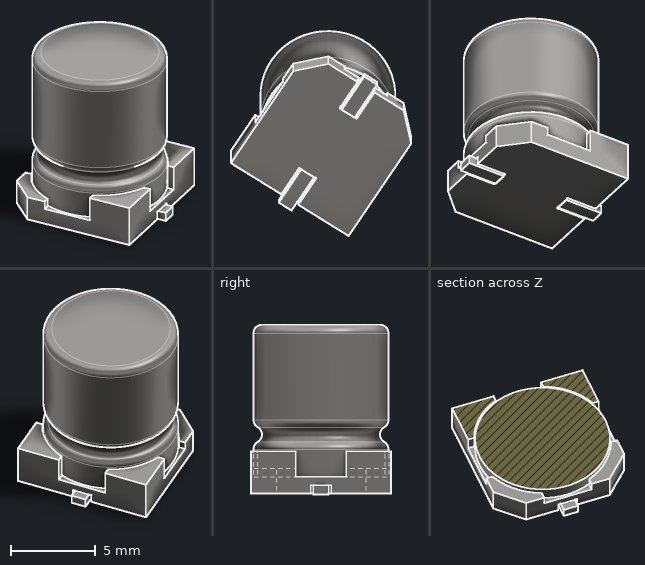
import cadquery as cq
import math


can_radius = 4.0
can_top = 10.0
can_top_round = 0.5

groove_height = 3.5
groove_arc_radius = 0.5
groove_arc_angle = math.radians(60)

base_width = 8.3
corner_chamfer = 1.5
floor_height = 1.0
low_corner_height = 1.5
high_corner_height = 2.5
notch_width = 3.0
bore_clearance = 0.05

lead_span = 9.3
lead_inner_gap = 4.4
lead_width = 0.9
lead_top = 0.5
lead_drop = 0.05
slot_width = 1.2


def block(x_min, x_max, width, z_min, z_max):
    """Return a box centred on Y = 0 between the given X and Z limits."""
    corner = cq.Workplane("XY", origin=(x_min, 0, z_min))
    return corner.box(x_max - x_min, width, z_max - z_min, centered=(False, True, False))


def make_can():
    """Return the round can standing on the base floor, with a rounded top and a crimp groove."""
    arc_rise = groove_arc_radius * math.sin(groove_arc_angle)
    arc_depth = groove_arc_radius * (1 - math.cos(groove_arc_angle))
    waist_radius = can_radius - 2 * arc_depth
    middle_radius = can_radius - arc_depth
    groove_bottom = groove_height - 2 * arc_rise
    groove_top = groove_height + 2 * arc_rise
    profile = (
        cq.Workplane("XZ")
        .moveTo(0, floor_height)
        .lineTo(can_radius, floor_height)
        .lineTo(can_radius, groove_bottom)
        .tangentArcPoint((middle_radius, groove_height - arc_rise), relative=False)
        .threePointArc((waist_radius, groove_height), (middle_radius, groove_height + arc_rise))
        .tangentArcPoint((can_radius, groove_top), relative=False)
        .lineTo(can_radius, can_top - can_top_round)
        .tangentArcPoint((can_radius - can_top_round, can_top), relative=False)
        .lineTo(0, can_top)
        .close()
    )
    return profile.revolve()


def make_base():
    """Return the square base with two chamfered corners, corner posts of two heights and notched sides.

    The posts are bored to clear the can, which touches only the floor between them.
    """
    half_width = base_width / 2
    base = block(-half_width, half_width, base_width, 0, high_corner_height)
    base = base.edges("|Z and <X").chamfer(corner_chamfer)
    low_side_cut = block(-half_width, 0, base_width, low_corner_height, high_corner_height)
    notch_along_x = block(-half_width, half_width, notch_width, floor_height, high_corner_height)
    notch_along_y = block(-notch_width / 2, notch_width / 2, base_width, floor_height, high_corner_height)
    bore_depth = high_corner_height - floor_height
    floor_plane = cq.Workplane("XY", origin=(0, 0, floor_height))
    bore = floor_plane.circle(can_radius + bore_clearance).extrude(bore_depth)
    return base.cut(low_side_cut).cut(notch_along_x).cut(notch_along_y).cut(bore)


def add_lead(body, side):
    """Cut a slot under one side of the base and fit its terminal; side is -1 or +1 along X."""
    inner_end = side * lead_inner_gap / 2
    base_face = side * base_width / 2
    outer_end = side * lead_span / 2
    slot = block(min(inner_end, base_face), max(inner_end, base_face), slot_width, 0, lead_top)
    lead = block(min(inner_end, outer_end), max(inner_end, outer_end), lead_width, -lead_drop, lead_top)
    return body.cut(slot).union(lead)


result = make_base().union(make_can())
for lead_side in (-1, 1):
    result = add_lead(result, lead_side)